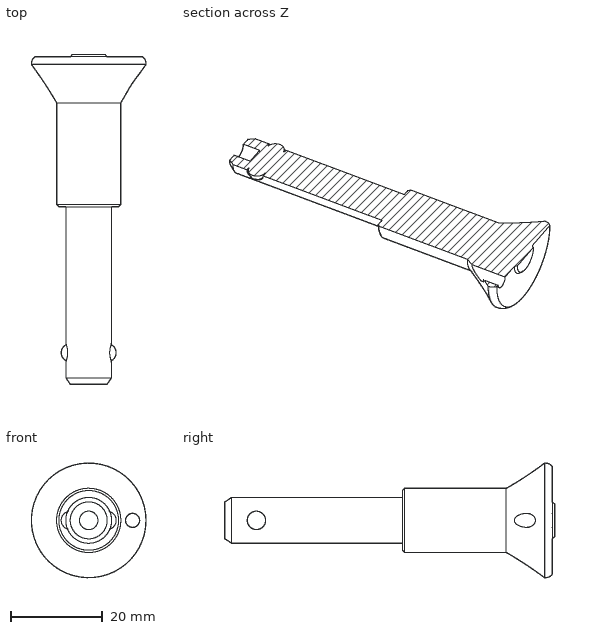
import cadquery as cq
import math

total_length = 71.9

shank_dia = 10.0
shank_length = 38.7
tip_dia = 8.05
tip_chamfer_length = 1.45
bore_dia = 4.0
bore_depth = bore_dia

ball_dia = 3.95
ball_pocket_dia = 4.0
ball_span = 12.0
ball_from_tip = 6.9

sleeve_dia = 14.0
sleeve_length = 22.65
sleeve_chamfer = 0.5
flange_dia = 25.0
rim_thickness = 1.5
rim_inset = 0.8
land_length = 0.2
flare_sag = 0.15
ring_hole_dia = 3.0
ring_hole_offset = 9.55

button_dia = 8.0
button_height = 0.5
button_inset = 0.4

tip_y = -shank_length
top_y = tip_y + total_length
flange_top_y = top_y - button_height
rim_bottom_y = flange_top_y - rim_thickness
rim_arc_radius = (rim_thickness**2 + rim_inset**2) / (2 * rim_inset)
land_bottom_y = rim_bottom_y - land_length


def make_body():
    """Shank, sleeve, flared flange and button as one turned profile."""
    sleeve_r = sleeve_dia / 2
    flange_r = flange_dia / 2
    button_r = button_dia / 2

    flare_dr = flange_r - sleeve_r
    flare_dy = land_bottom_y - sleeve_length
    flare_chord = math.hypot(flare_dr, flare_dy)
    flare_mid = (
        sleeve_r + flare_dr / 2 - flare_sag * flare_dy / flare_chord,
        sleeve_length + flare_dy / 2 + flare_sag * flare_dr / flare_chord,
    )

    return (
        cq.Workplane("XY")
        .moveTo(0, tip_y)
        .lineTo(tip_dia / 2, tip_y)
        .lineTo(shank_dia / 2, tip_y + tip_chamfer_length)
        .lineTo(shank_dia / 2, 0)
        .lineTo(sleeve_r - sleeve_chamfer, 0)
        .lineTo(sleeve_r, sleeve_chamfer)
        .lineTo(sleeve_r, sleeve_length)
        .threePointArc(flare_mid, (flange_r, land_bottom_y))
        .lineTo(flange_r, rim_bottom_y)
        .radiusArc((flange_r - rim_inset, flange_top_y), -rim_arc_radius)
        .lineTo(button_r, flange_top_y)
        .lineTo(button_r - button_inset, top_y)
        .lineTo(0, top_y)
        .close()
        .revolve(360, (0, 0, 0), (0, 1, 0))
    )


def add_locking_ball(body, side):
    """Seat one ball in a round pocket whose floor passes through the ball centre."""
    ball_y = tip_y + ball_from_tip
    ball_x = side * (ball_span - ball_dia) / 2
    pocket = (
        cq.Workplane("YZ", origin=(ball_x, ball_y, 0))
        .circle(ball_pocket_dia / 2)
        .extrude(side * shank_dia / 2)
    )
    ball = cq.Workplane("XY").sphere(ball_dia / 2).translate((ball_x, ball_y, 0))
    return body.cut(pocket).union(ball)


def axial_hole(x, start_y, diameter, depth):
    """Cylinder running from start_y towards +Y."""
    return (
        cq.Workplane("XZ", origin=(x, start_y, 0))
        .circle(diameter / 2)
        .extrude(-depth)
    )


result = make_body()
for ball_side in (-1, 1):
    result = add_locking_ball(result, ball_side)
result = result.cut(axial_hole(0, tip_y, bore_dia, bore_depth))
result = result.cut(axial_hole(ring_hole_offset, 0, ring_hole_dia, top_y))